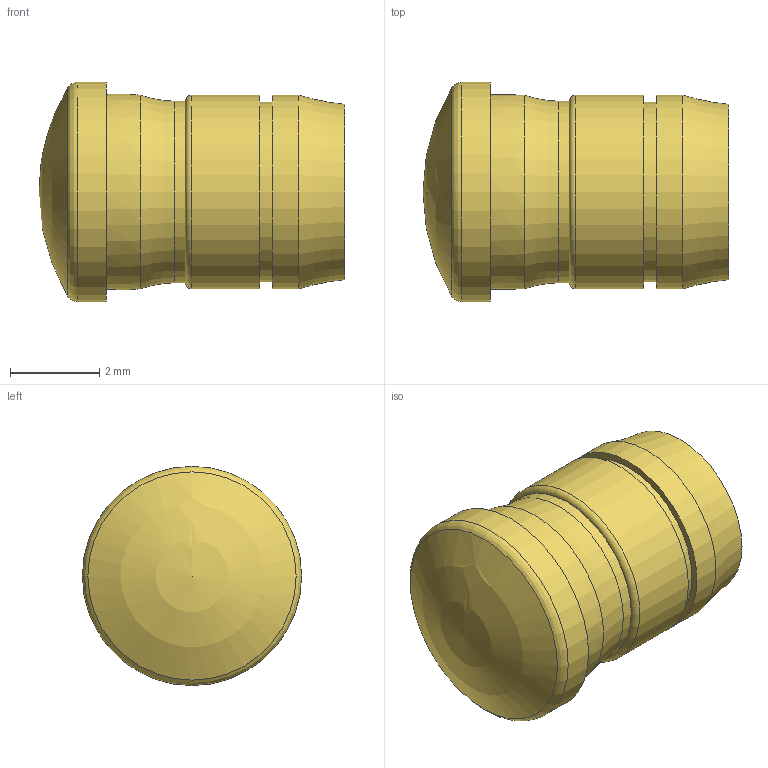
import cadquery as cq
import math


head_height = 1.5
head_radius = 2.45
dome_radius = 4.55
head_edge_round = 0.25

shoulder_radius = 2.18
shoulder_crown_rise = 0.015
shoulder_end_radius = 2.165
shoulder_length = 0.76

flare_length = 0.76
flare_sag = 0.03

neck_radius = 2.03
neck_length = 0.25

collar_radius = 2.165
collar_edge_round = collar_radius - neck_radius
collar_end = 4.31
groove_radius = 2.008
groove_start = 3.44
groove_width = 0.27

shank_length = 5.34
tip_radius = 1.96
tip_sag = 0.03

flare_start = shoulder_length
neck_start = flare_start + flare_length
collar_start = neck_start + neck_length
groove_end = groove_start + groove_width


def arc_middle(start, end, bulge):
    """Middle point of an arc, lifted radially by `bulge` from the chord (negative is concave)."""
    return ((start[0] + end[0]) / 2, (start[1] + end[1]) / 2 + bulge)


def make_head():
    """Spherical cap on a short cylinder, with the edge between them rounded."""
    apex = -head_height
    dome_center = apex + dome_radius
    edge_center_radius = head_radius - head_edge_round
    edge_center = dome_center - math.sqrt((dome_radius - head_edge_round) ** 2 - edge_center_radius**2)
    dome_angle = math.asin(edge_center_radius / (dome_radius - head_edge_round))

    def dome_point(angle):
        return (dome_center - dome_radius * math.cos(angle), dome_radius * math.sin(angle))

    round_angle = (dome_angle + math.pi / 2) / 2
    round_middle = (
        edge_center - head_edge_round * math.cos(round_angle),
        edge_center_radius + head_edge_round * math.sin(round_angle),
    )
    profile = (
        cq.Workplane("XZ")
        .moveTo(apex, 0)
        .threePointArc(dome_point(dome_angle / 2), dome_point(dome_angle))
        .threePointArc(round_middle, (edge_center, head_radius))
        .lineTo(0, head_radius)
        .lineTo(0, 0)
        .close()
    )
    return profile.revolve(360, (0, 0, 0), (1, 0, 0))


def make_shank():
    """Shoulder, flare, neck, grooved collar and tapered tip."""
    shoulder_top = (0, shoulder_radius)
    flare_top = (flare_start, shoulder_end_radius)
    flare_bottom = (neck_start, neck_radius)
    taper_top = (collar_end, collar_radius)
    taper_bottom = (shank_length, tip_radius)
    round_offset = collar_edge_round * math.sqrt(0.5)
    round_middle = (collar_start + collar_edge_round - round_offset, neck_radius + round_offset)
    profile = (
        cq.Workplane("XZ")
        .moveTo(0, 0)
        .lineTo(*shoulder_top)
        .threePointArc(arc_middle(shoulder_top, flare_top, shoulder_crown_rise), flare_top)
        .threePointArc(arc_middle(flare_top, flare_bottom, -flare_sag), flare_bottom)
        .lineTo(collar_start, neck_radius)
        .threePointArc(round_middle, (collar_start + collar_edge_round, collar_radius))
        .lineTo(groove_start, collar_radius)
        .lineTo(groove_start, groove_radius)
        .lineTo(groove_end, groove_radius)
        .lineTo(groove_end, collar_radius)
        .lineTo(*taper_top)
        .threePointArc(arc_middle(taper_top, taper_bottom, -tip_sag), taper_bottom)
        .lineTo(shank_length, 0)
        .close()
    )
    return profile.revolve(360, (0, 0, 0), (1, 0, 0))


result = make_head().union(make_shank())